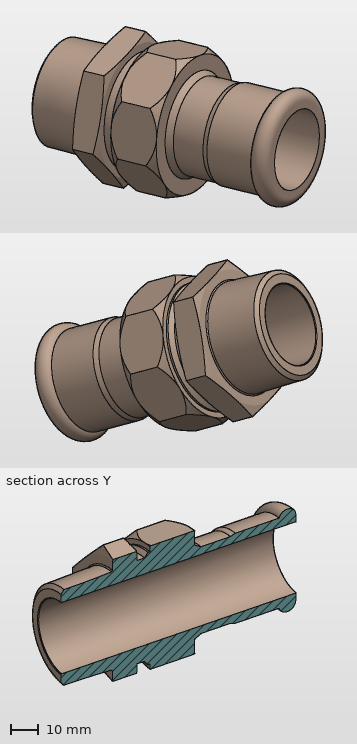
import cadquery as cq
import math

LENGTH = 100.8
BORE_DIA = 30.0
BORE_CHAMFER = 0.3

THREAD_TIP_DIA = 37.4
THREAD_START_DIA = 40.7
THREAD_END_DIA = 41.8
THREAD_END = 21.7
THREAD_CHAMFER_LENGTH = 1.3

HEX_START = 22.1
HEX_ROOT_DIA = 42.8
HEX_END = 32.8
HEX_FLATS = 50.0
HEX_CHAMFER_DEPTH = 1.0
HEX_SIDES = 6
HEX_CORNER_ANGLE = 135.0

NECK_DIA = 44.0
NECK_END = 35.8
COLLAR_DIA = 47.8
FLARE_END = 37.3

NUT_START = 38.1
NUT_END = 57.5
NUT_SIDES = 8
NUT_FLATS = 52.0
NUT_CHAMFER_DEPTH = 3.6
NUT_CORNER_ANGLE = 150.0

CONE_DIA = 40.1
CONE_END = 60.0
TUBE_DIA = 37.0
TUBE_END = 72.6
SOCKET_DIA = 38.4
SOCKET_START = 74.7
BEAD_DIA = 43.6
BEAD_WIDTH = 7.6


def polygon_nut(sides, flats, start, end, corner_angle, chamfer_depth):
    """Polygonal prism along X with conical bevels that start at the flats on both end faces."""
    flat_radius = flats / 2
    corner_radius = flat_radius / math.cos(math.pi / sides)
    corners = []
    for i in range(sides):
        angle = math.radians(corner_angle) + 2 * math.pi * i / sides
        corners.append((corner_radius * math.cos(angle), corner_radius * math.sin(angle)))
    prism = cq.Workplane("YZ", origin=(start, 0, 0)).polyline(corners).close().extrude(end - start)

    envelope = (
        cq.Workplane("XY")
        .moveTo(start, 0)
        .lineTo(start, flat_radius)
        .lineTo(start + chamfer_depth, corner_radius)
        .lineTo(end - chamfer_depth, corner_radius)
        .lineTo(end, flat_radius)
        .lineTo(end, 0)
        .close()
        .revolve(360, (0, 0, 0), (1, 0, 0))
    )
    return prism.intersect(envelope)


def turned_body():
    """Solid of revolution with every round outer surface, including the end bead."""
    bead_radius = BEAD_WIDTH / 2
    bead_center_x = LENGTH - bead_radius
    bead_center_radius = BEAD_DIA / 2 - bead_radius
    rise = SOCKET_DIA / 2 - bead_center_radius
    bead_start = bead_center_x - math.sqrt(bead_radius**2 - rise**2)
    return (
        cq.Workplane("XY")
        .lineTo(0, THREAD_TIP_DIA / 2)
        .lineTo(THREAD_CHAMFER_LENGTH, THREAD_START_DIA / 2)
        .lineTo(THREAD_END, THREAD_END_DIA / 2)
        .lineTo(HEX_START, HEX_ROOT_DIA / 2)
        .lineTo(HEX_END, HEX_ROOT_DIA / 2)
        .lineTo(HEX_END, NECK_DIA / 2)
        .lineTo(NECK_END, NECK_DIA / 2)
        .lineTo(FLARE_END, COLLAR_DIA / 2)
        .lineTo(NUT_END, COLLAR_DIA / 2)
        .lineTo(NUT_END, CONE_DIA / 2)
        .lineTo(CONE_END, TUBE_DIA / 2)
        .lineTo(TUBE_END, TUBE_DIA / 2)
        .lineTo(SOCKET_START, SOCKET_DIA / 2)
        .lineTo(bead_start, SOCKET_DIA / 2)
        .threePointArc((bead_center_x, BEAD_DIA / 2), (LENGTH, bead_center_radius))
        .lineTo(LENGTH, 0)
        .close()
        .revolve(360, (0, 0, 0), (1, 0, 0))
    )


def bore():
    """Through bore with a small chamfer at the thread end."""
    return (
        cq.Workplane("XY")
        .lineTo(0, BORE_DIA / 2 + BORE_CHAMFER)
        .lineTo(BORE_CHAMFER, BORE_DIA / 2)
        .lineTo(LENGTH, BORE_DIA / 2)
        .lineTo(LENGTH, 0)
        .close()
        .revolve(360, (0, 0, 0), (1, 0, 0))
    )


hexagon = polygon_nut(HEX_SIDES, HEX_FLATS, HEX_START, HEX_END, HEX_CORNER_ANGLE, HEX_CHAMFER_DEPTH)
union_nut = polygon_nut(NUT_SIDES, NUT_FLATS, NUT_START, NUT_END, NUT_CORNER_ANGLE, NUT_CHAMFER_DEPTH)
result = turned_body().union(hexagon).union(union_nut).cut(bore())